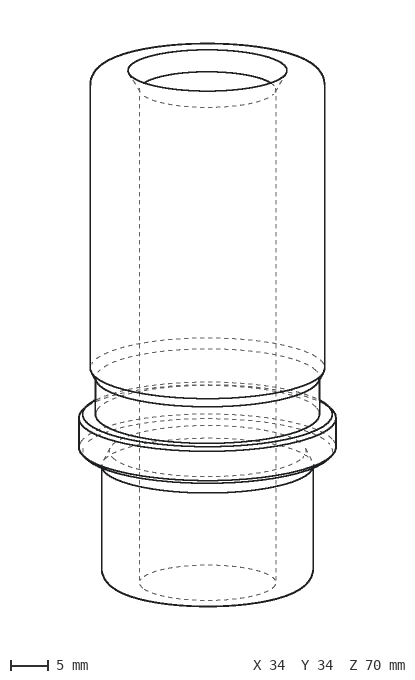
import cadquery as cq
import math

total_height = 70.0
bore_radius = 9.0

flange_radius = 17.0
flange_bottom = 18.0
flange_thickness = 5.0
flange_chamfer = 0.5
flange_top = flange_bottom + flange_thickness

spigot_radius = 14.0
undercut_height = 2.0
undercut_depth = 1.0

body_radius = 15.5
neck_radius = 14.8
neck_top = 28.0
body_taper_height = 1.3

end_fillet = 2.0
mouth_radius = 10.5
mouth_angle = 30.0
mouth_depth = (mouth_radius - bore_radius) / math.tan(math.radians(mouth_angle))


def make_half_profile():
    """Half section of the bush in the XZ plane, with X as the radius."""
    fillet_diagonal = end_fillet * math.sqrt(0.5)
    spigot_fillet_center = (spigot_radius - end_fillet, end_fillet)
    body_fillet_center = (body_radius - end_fillet, total_height - end_fillet)
    return (
        cq.Workplane("XZ")
        .moveTo(bore_radius, 0)
        .lineTo(spigot_fillet_center[0], 0)
        .threePointArc(
            (spigot_fillet_center[0] + fillet_diagonal, spigot_fillet_center[1] - fillet_diagonal),
            (spigot_radius, end_fillet),
        )
        .lineTo(spigot_radius, flange_bottom - undercut_height)
        .lineTo(spigot_radius - undercut_depth, flange_bottom)
        .lineTo(flange_radius - flange_chamfer, flange_bottom)
        .lineTo(flange_radius, flange_bottom + flange_chamfer)
        .lineTo(flange_radius, flange_top - flange_chamfer)
        .lineTo(flange_radius - flange_chamfer, flange_top)
        .lineTo(neck_radius, flange_top)
        .lineTo(neck_radius, neck_top)
        .lineTo(body_radius, neck_top + body_taper_height)
        .lineTo(body_radius, total_height - end_fillet)
        .threePointArc(
            (body_fillet_center[0] + fillet_diagonal, body_fillet_center[1] + fillet_diagonal),
            (body_fillet_center[0], total_height),
        )
        .lineTo(mouth_radius, total_height)
        .lineTo(bore_radius, total_height - mouth_depth)
        .close()
    )


result = make_half_profile().revolve(360, (0, 0, 0), (0, 1, 0))